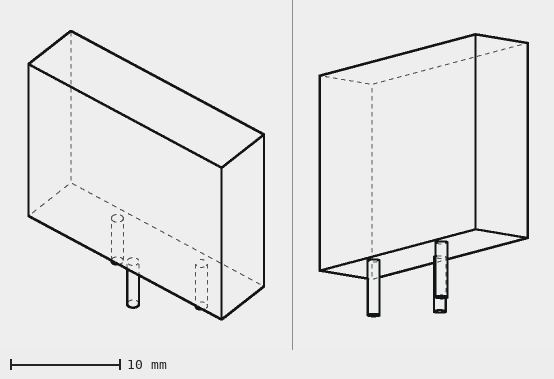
import cadquery as cq

case_length = 23.0
case_width = 6.1
total_height = 23.4

pin_diameter = 1.1
pin_length = 5.1
pin_pitch = 5.0
row_spacing = 3.8

case_height = total_height - pin_length

pin_positions = [
    (-pin_pitch, row_spacing / 2),
    (0, -row_spacing / 2),
    (pin_pitch, row_spacing / 2),
]


def make_case():
    """Plain rectangular case with its underside at Z = 0."""
    return cq.Workplane("XY").box(case_length, case_width, case_height, centered=(True, True, False))


def make_pin(x, y):
    """Round pin whose top end touches the underside of the case."""
    return cq.Workplane("XY").center(x, y).circle(pin_diameter / 2).extrude(-pin_length)


case = make_case()
pins = [make_pin(x, y) for x, y in pin_positions]

result = cq.Compound.makeCompound([case.val(), *[pin.val() for pin in pins]])